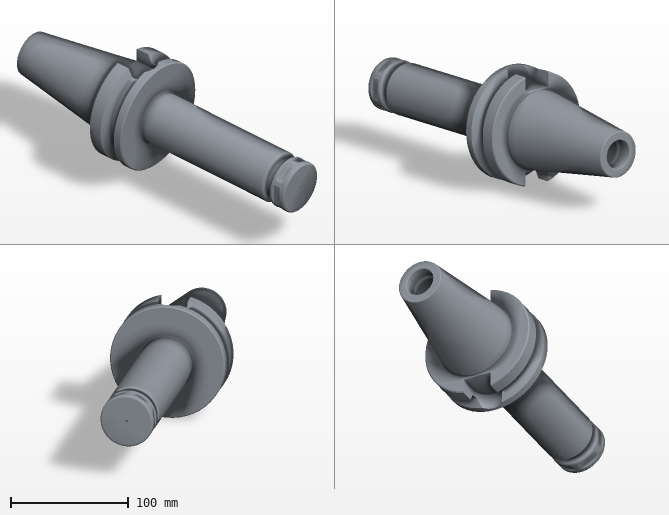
import cadquery as cq
import math

TAPER_LENGTH = 101.8
NOSE_END = 195.0

GAUGE_DIAMETER = 69.85
TAPER_RATIO = 7 / 24
SMALL_END_DIAMETER = GAUGE_DIAMETER - TAPER_LENGTH * TAPER_RATIO
SMALL_END_RADIUS = 1.0
RELIEF_DIAMETER = 69.3

FLANGE_START = 3.0
FLANGE_END = 38.0
FLANGE_DIAMETER = 100.0
FLANGE_CHAMFER = 1.0
FLANGE_ROOT_RADIUS = 1.5

GROOVE_CENTER = 23.0
GROOVE_FLOOR_WIDTH = 6.0
GROOVE_FLOOR_DIAMETER = 85.0
GROOVE_WALL_ANGLE = 30.0

KEY_SLOT_WIDTH = 25.7
KEY_SLOT_END = 34.0
KEY_SLOT_FLOOR = 35.4

BODY_DIAMETER = 46.0
BODY_END = 172.0
BODY_ROOT_RADIUS = 2.0
BODY_END_RADIUS = 2.0
RING_START = 159.5
RING_END = 162.0
RING_DEPTH = 0.1

NECK_DIAMETER = 36.0
NUT_START = 179.0
NUT_DIAMETER = 46.0
NUT_RIM_RADIUS = 2.0

FLAT_COUNT = 6
FLAT_DISTANCE = 20.85
FLAT_START = 183.0
FLAT_END = 189.3
FLAT_WALL_ANGLE = 30.0

PILOT_DIAMETER = 25.0
PILOT_DEPTH = 12.0
PILOT_CHAMFER = 0.6
THREAD_MOUTH_DIAMETER = 24.0
THREAD_DIAMETER = 21.0
THREAD_DEPTH = 45.0
SCREW_RECESS_DIAMETER = 9.0
SCREW_RECESS_DEPTH = 10.0
COOLANT_DIAMETER = 2.5


def cylinder(start, end, diameter):
    """Cylinder on the X axis between two X positions."""
    return cq.Workplane("YZ", origin=(start, 0, 0)).circle(diameter / 2).extrude(end - start)


def revolve_about_x(profile):
    """Revolve a closed (X, radius) profile about the X axis."""
    return profile.close().revolve(360, (0, 0, 0), (1, 0, 0))


def make_shank():
    profile = (
        cq.Workplane("XY")
        .moveTo(-TAPER_LENGTH, 0)
        .lineTo(-TAPER_LENGTH, SMALL_END_DIAMETER / 2)
        .lineTo(0, GAUGE_DIAMETER / 2)
        .lineTo(FLANGE_START - FLANGE_ROOT_RADIUS, RELIEF_DIAMETER / 2)
        .radiusArc((FLANGE_START, RELIEF_DIAMETER / 2 + FLANGE_ROOT_RADIUS), -FLANGE_ROOT_RADIUS)
        .lineTo(FLANGE_START, 0)
    )
    return revolve_about_x(profile).faces("<X").edges().fillet(SMALL_END_RADIUS)


def make_gripper_groove():
    floor_radius = GROOVE_FLOOR_DIAMETER / 2
    rim_radius = FLANGE_DIAMETER / 2
    half_floor = GROOVE_FLOOR_WIDTH / 2
    half_rim = half_floor + (rim_radius - floor_radius) * math.tan(math.radians(GROOVE_WALL_ANGLE))
    profile = (
        cq.Workplane("XY")
        .moveTo(GROOVE_CENTER - half_floor, floor_radius)
        .lineTo(GROOVE_CENTER + half_floor, floor_radius)
        .lineTo(GROOVE_CENTER + half_rim, rim_radius)
        .lineTo(GROOVE_CENTER - half_rim, rim_radius)
    )
    return revolve_about_x(profile)


def make_key_slot():
    """Round-ended slot from the gauge plane, cutting the +Z side of the flange and its root fillet."""
    radius = KEY_SLOT_WIDTH / 2
    return (
        cq.Workplane("XY", origin=(0, 0, KEY_SLOT_FLOOR))
        .moveTo(0, -radius)
        .lineTo(KEY_SLOT_END - radius, -radius)
        .threePointArc((KEY_SLOT_END, 0), (KEY_SLOT_END - radius, radius))
        .lineTo(0, radius)
        .close()
        .extrude(FLANGE_DIAMETER / 2)
    )


def make_flange():
    flange = cylinder(FLANGE_START, FLANGE_END, FLANGE_DIAMETER).edges().chamfer(FLANGE_CHAMFER)
    return flange.cut(make_gripper_groove())


def cut_key_slots(body):
    key_slot = make_key_slot()
    opposite_slot = key_slot.rotate((0, 0, 0), (1, 0, 0), 180)
    return body.cut(key_slot).cut(opposite_slot)


def make_body():
    body = cylinder(FLANGE_END, BODY_END, BODY_DIAMETER).faces(">X").edges().fillet(BODY_END_RADIUS)
    radius = BODY_DIAMETER / 2
    root = (
        cq.Workplane("XY")
        .moveTo(FLANGE_END, 0)
        .lineTo(FLANGE_END, radius + BODY_ROOT_RADIUS)
        .radiusArc((FLANGE_END + BODY_ROOT_RADIUS, radius), -BODY_ROOT_RADIUS)
        .lineTo(FLANGE_END + BODY_ROOT_RADIUS, 0)
    )
    ring_floor = cylinder(RING_START, RING_END, BODY_DIAMETER - 2 * RING_DEPTH)
    ring = cylinder(RING_START, RING_END, BODY_DIAMETER).cut(ring_floor)
    return body.union(revolve_about_x(root)).cut(ring)


def make_wrench_flat():
    """Sloped-wall cutter leaving a flat on the -Y side of the nut."""
    nut_radius = NUT_DIAMETER / 2
    flare = (nut_radius - FLAT_DISTANCE) * math.tan(math.radians(FLAT_WALL_ANGLE))
    return (
        cq.Workplane("XY")
        .moveTo(FLAT_START, -FLAT_DISTANCE)
        .lineTo(FLAT_END, -FLAT_DISTANCE)
        .lineTo(FLAT_END + flare, -nut_radius)
        .lineTo(FLAT_START - flare, -nut_radius)
        .close()
        .extrude(nut_radius, both=True)
    )


def make_nut():
    nut = cylinder(NUT_START, NOSE_END, NUT_DIAMETER).edges("%CIRCLE").fillet(NUT_RIM_RADIUS)
    wrench_flat = make_wrench_flat()
    for index in range(FLAT_COUNT):
        nut = nut.cut(wrench_flat.rotate((0, 0, 0), (1, 0, 0), index * 360 / FLAT_COUNT))
    return nut


def make_bore():
    """Chamfered pilot bore, countersunk thread bore, screw recess and coolant hole."""
    start = -TAPER_LENGTH
    pilot_radius = PILOT_DIAMETER / 2
    thread_radius = THREAD_DIAMETER / 2
    mouth_radius = THREAD_MOUTH_DIAMETER / 2
    countersink_depth = mouth_radius - thread_radius
    profile = (
        cq.Workplane("XY")
        .moveTo(start, 0)
        .lineTo(start, pilot_radius + PILOT_CHAMFER)
        .lineTo(start + PILOT_CHAMFER, pilot_radius)
        .lineTo(start + PILOT_DEPTH, pilot_radius)
        .lineTo(start + PILOT_DEPTH, mouth_radius)
        .lineTo(start + PILOT_DEPTH + countersink_depth, thread_radius)
        .lineTo(start + THREAD_DEPTH, thread_radius)
        .lineTo(start + THREAD_DEPTH, 0)
    )
    draw_bar_bore = revolve_about_x(profile)
    recess = cylinder(start, start + THREAD_DEPTH + SCREW_RECESS_DEPTH, SCREW_RECESS_DIAMETER)
    coolant = cylinder(start, NOSE_END, COOLANT_DIAMETER)
    return draw_bar_bore.union(recess).union(coolant)


neck = cylinder(BODY_END, NUT_START, NECK_DIAMETER)
drive_end = cut_key_slots(make_shank().union(make_flange()))
holder = drive_end.union(make_body()).union(neck).union(make_nut())
result = holder.cut(make_bore())